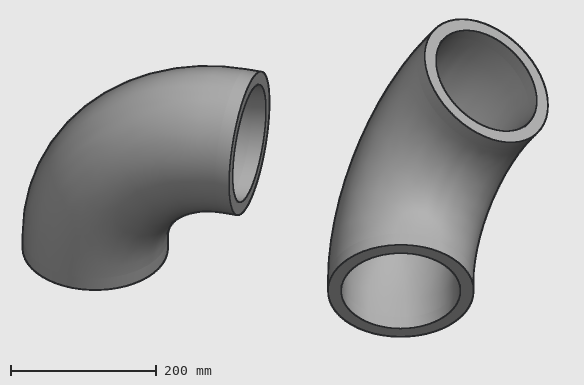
import cadquery as cq

overall_size = 320.0
outer_diameter = 200.0
bore_diameter = 163.5
bend_radius = outer_diameter
bend_angle = 90

collar_length = overall_size - bend_radius - outer_diameter / 2


def elbow_rod(diameter):
    """Solid round bar running up +Z, through the bend, and out along +X."""
    radius = diameter / 2
    inlet = cq.Workplane("XY").circle(radius).extrude(collar_length)
    bend = (
        cq.Workplane("XY", origin=(0, 0, collar_length))
        .circle(radius)
        .revolve(bend_angle, (bend_radius, 0, 0), (bend_radius, 1, 0))
    )
    outlet = (
        cq.Workplane("YZ", origin=(bend_radius, 0, collar_length + bend_radius))
        .circle(radius)
        .extrude(collar_length)
    )
    return inlet.union(bend).union(outlet)


result = elbow_rod(outer_diameter).cut(elbow_rod(bore_diameter))